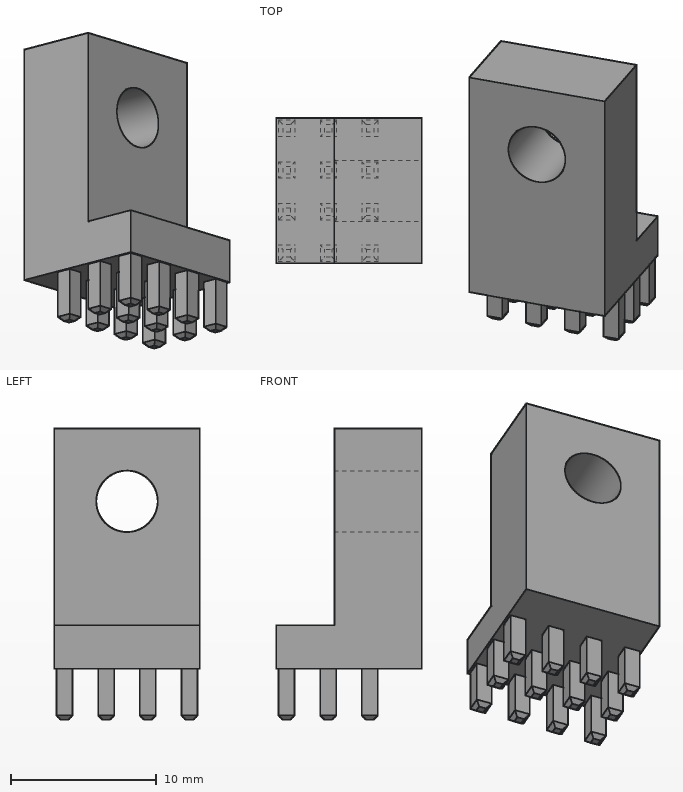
import cadquery as cq

width = 10.0
depth = 10.0
height = 20.0

pin_length = 3.5
foot_height = 3.0
wall_thickness = 6.0
wall_height = height - pin_length

hole_diameter = 4.2
hole_below_top = 5.0

pin_side = 1.12
pin_chamfer = 0.3
pin_pitch = 2.85
columns = 3
rows = 4
first_pin_inset = (depth - (rows - 1) * pin_pitch) / 2


def make_body():
    """L-shaped block: a low foot on the -X side of a tall wall, bottom at Z = 0."""
    foot = cq.Workplane("XY").box(width, depth, foot_height, centered=False)
    wall = (
        cq.Workplane("XY")
        .box(wall_thickness, depth, wall_height, centered=False)
        .translate((width - wall_thickness, 0, 0))
    )
    return foot.union(wall)


def make_hole():
    """Cylinder along X, as long as the body, to cut through the wall."""
    return (
        cq.Workplane("YZ")
        .center(depth / 2, wall_height - hole_below_top)
        .circle(hole_diameter / 2)
        .extrude(width)
    )


def make_pin(x, y):
    """Square pin hanging below the body, chamfered around its tip."""
    return (
        cq.Workplane("XY")
        .center(x, y)
        .rect(pin_side, pin_side)
        .extrude(-pin_length)
        .faces("<Z")
        .chamfer(pin_chamfer)
    )


result = make_body().cut(make_hole())
for column in range(columns):
    for row in range(rows):
        pin_x = first_pin_inset + column * pin_pitch
        pin_y = first_pin_inset + row * pin_pitch
        result = result.union(make_pin(pin_x, pin_y))